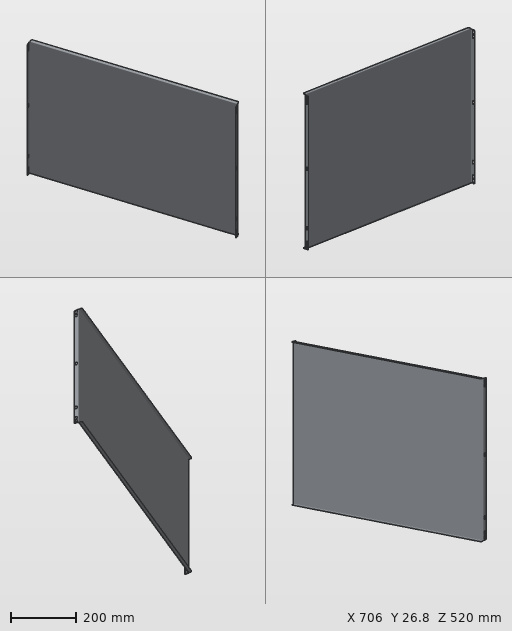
import cadquery as cq

WIDTH = 706.0
DEPTH = 26.8
HEIGHT = 520.0

SHEET = 1.2
INNER_RADIUS = 0.8
OUTER_RADIUS = INNER_RADIUS + SHEET

REAR_FLANGE = 12.0
SIDE_FLANGE = DEPTH + SHEET - REAR_FLANGE

PANEL_FRONT = 0.0
PANEL_BACK = SHEET
REAR_TIP = PANEL_FRONT + REAR_FLANGE
FRONT_TIP = PANEL_BACK - SIDE_FLANGE

FLAT_WIDTH = WIDTH - 2 * OUTER_RADIUS
FLAT_HEIGHT = HEIGHT - 2 * OUTER_RADIUS

FLANGE_CORNER_RADIUS = 5.0

SLOT_WIDTH = 7.0
SLOT_LENGTH = 12.0
SLOT_EDGE_DISTANCE = 7.0
SLOT_Y = FRONT_TIP + SLOT_EDGE_DISTANCE
END_SLOT_OFFSETS = (11.0, 25.0)
LOWER_SLOT_OFFSET = 73.5
LOWER_SLOT_SPACING = 200.0
LOWER_SLOT_OFFSETS = (LOWER_SLOT_OFFSET, LOWER_SLOT_OFFSET + LOWER_SLOT_SPACING)


def folded_flange(workplane, half_span, near_face, far_face, tip, length):
    """Bend and flange at the positive end of the panel, extruded symmetrically.

    Local coordinates are (outward from the panel centre, Y). far_face is the panel
    face on the outside of the bend, near_face the one on the inside, towards tip.
    """
    direction = 1 if tip > far_face else -1
    bend_start = half_span - OUTER_RADIUS
    bend_end = far_face + direction * OUTER_RADIUS
    inner_face = half_span - SHEET
    return (
        workplane
        .moveTo(bend_start, far_face)
        .radiusArc((half_span, bend_end), -direction * OUTER_RADIUS)
        .lineTo(half_span, tip)
        .lineTo(inner_face, tip)
        .lineTo(inner_face, bend_end)
        .radiusArc((bend_start, near_face), direction * INNER_RADIUS)
        .close()
        .extrude(length / 2, both=True)
    )


def make_panel():
    return (
        cq.Workplane("XY")
        .box(FLAT_WIDTH, SHEET, FLAT_HEIGHT)
        .translate((0, (PANEL_FRONT + PANEL_BACK) / 2, 0))
    )


def make_side_flange():
    """Forward flange on the +X edge with rounded free corners."""
    flange = folded_flange(
        cq.Workplane("XY"), WIDTH / 2, PANEL_FRONT, PANEL_BACK, FRONT_TIP, FLAT_HEIGHT
    )
    return flange.faces("<Y").edges("|X").fillet(FLANGE_CORNER_RADIUS)


def make_top_flange():
    """Rearward flange on the +Z edge with rounded free corners."""
    top_plane = cq.Plane(origin=(0, 0, 0), xDir=(0, 0, 1), normal=(-1, 0, 0))
    flange = folded_flange(
        cq.Workplane(top_plane), HEIGHT / 2, PANEL_BACK, PANEL_FRONT, REAR_TIP, FLAT_WIDTH
    )
    return flange.faces(">Y").edges("|Z").fillet(FLANGE_CORNER_RADIUS)


def make_slots():
    """Slot cutters that run through both side flanges."""
    bottom = -HEIGHT / 2
    heights = [bottom + offset for offset in END_SLOT_OFFSETS + LOWER_SLOT_OFFSETS]
    heights += [HEIGHT / 2 - offset for offset in END_SLOT_OFFSETS]
    return (
        cq.Workplane("YZ")
        .pushPoints([(SLOT_Y, height) for height in heights])
        .slot2D(SLOT_LENGTH, SLOT_WIDTH, angle=90)
        .extrude(WIDTH / 2, both=True)
    )


side_flange = make_side_flange()
top_flange = make_top_flange()

result = (
    make_panel()
    .union(side_flange)
    .union(side_flange.mirror("YZ"))
    .union(top_flange)
    .union(top_flange.mirror("XY"))
    .cut(make_slots())
)